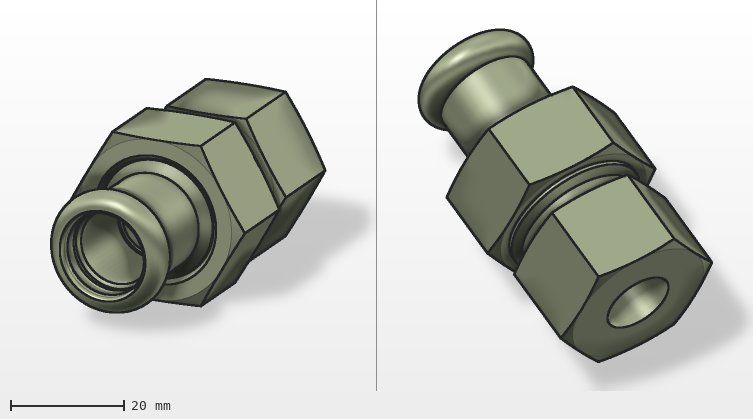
import cadquery as cq
import math

total_length = 58.5
bead_length = 6.45
front_nut_start = 21.25
front_nut_end = 36.4
collar_chamfer_start = 37.2
collar_end = 38.45
rear_nut_start = 41.5

front_nut_flats = 30.0
rear_nut_flats = 27.0
hex_chamfer_angle = 15.0

bead_diameter = 22.65
tube_diameter = 18.3
shoulder_diameter = 22.0
collar_diameter = 26.45
neck_diameter = 23.5
shoulder_cone_start = 20.0

countersink_diameter = 24.0
countersink_floor_diameter = 22.2

mouth_diameter = 17.2
land_diameter = 15.7
socket_diameter = 15.3
throat_entry_diameter = 13.4
tube_bore_diameter = 14.0
through_diameter = 12.6
lip_length = 0.7
groove_start = 1.6
groove_end = 4.1
groove_depth = 0.7
step_start = 5.05
step_end = 5.75
bore_stop = 20.5


def revolve_about_y(profile):
    """Revolve a half profile drawn as (radius, y) about the Y axis."""
    return profile.close().revolve(360, (0, 0, 0), (0, 1, 0))


def hex_nut(flats, start, end):
    """Hexagonal prism along Y, corners on X, with conical chamfers at both ends."""
    corners = flats / math.cos(math.radians(30))
    length = end - start
    prism = (
        cq.Workplane("XZ", origin=(0, start, 0))
        .polygon(6, corners)
        .extrude(-length)
    )
    face_radius = flats / 2
    corner_radius = corners / 2
    chamfer_length = (corner_radius - face_radius) * math.tan(math.radians(hex_chamfer_angle))
    envelope = revolve_about_y(
        cq.Workplane("XY")
        .moveTo(0, start)
        .lineTo(face_radius, start)
        .lineTo(corner_radius, start + chamfer_length)
        .lineTo(corner_radius, end - chamfer_length)
        .lineTo(face_radius, end)
        .lineTo(0, end)
    )
    return prism.intersect(envelope)


def front_nut():
    """Front nut with a 45 degree countersink around the tube shoulder."""
    outer_radius = countersink_diameter / 2
    floor_radius = countersink_floor_diameter / 2
    floor_y = front_nut_start + outer_radius - floor_radius
    countersink = revolve_about_y(
        cq.Workplane("XY")
        .moveTo(0, front_nut_start)
        .lineTo(outer_radius, front_nut_start)
        .lineTo(floor_radius, floor_y)
        .lineTo(0, floor_y)
    )
    return hex_nut(front_nut_flats, front_nut_start, front_nut_end).cut(countersink)


def turned_body():
    """Beaded tube, 45 degree shoulder cone, collar and neck."""
    tube_radius = tube_diameter / 2
    shoulder_radius = shoulder_diameter / 2
    cone_end = shoulder_cone_start + shoulder_radius - tube_radius
    bead_corner = bead_length / 2
    bead_center_radius = bead_diameter / 2 - bead_corner
    return revolve_about_y(
        cq.Workplane("XY")
        .lineTo(bead_center_radius, 0)
        .threePointArc((bead_diameter / 2, bead_corner), (bead_center_radius, bead_length))
        .lineTo(tube_radius, bead_length)
        .lineTo(tube_radius, shoulder_cone_start)
        .lineTo(shoulder_radius, cone_end)
        .lineTo(shoulder_radius, front_nut_end)
        .lineTo(collar_diameter / 2, front_nut_end)
        .lineTo(collar_diameter / 2, collar_chamfer_start)
        .lineTo(neck_diameter / 2, collar_end)
        .lineTo(neck_diameter / 2, rear_nut_start)
        .lineTo(0, rear_nut_start)
    )


def bore():
    """Through bore with a rounded mouth, seal groove, stepped socket and conical throat."""
    land_radius = land_diameter / 2
    lip_width = mouth_diameter / 2 - land_radius
    diagonal = math.sqrt(0.5)
    lip_middle = (
        land_radius + lip_width * (1 - diagonal),
        lip_length * (1 - diagonal),
    )
    socket_radius = socket_diameter / 2
    groove_middle = (socket_radius + groove_depth, (groove_start + groove_end) / 2)
    throat_radius = through_diameter / 2
    cone_end = bore_stop + throat_entry_diameter / 2 - throat_radius
    return revolve_about_y(
        cq.Workplane("XY")
        .lineTo(mouth_diameter / 2, 0)
        .threePointArc(lip_middle, (land_radius, lip_length))
        .lineTo(socket_radius, groove_start)
        .threePointArc(groove_middle, (socket_radius, groove_end))
        .lineTo(socket_radius, step_start)
        .lineTo(tube_bore_diameter / 2, step_end)
        .lineTo(tube_bore_diameter / 2, bore_stop)
        .lineTo(throat_entry_diameter / 2, bore_stop)
        .lineTo(throat_radius, cone_end)
        .lineTo(throat_radius, total_length)
        .lineTo(0, total_length)
    )


rear_nut = hex_nut(rear_nut_flats, rear_nut_start, total_length)
result = turned_body().union(front_nut()).union(rear_nut).cut(bore())